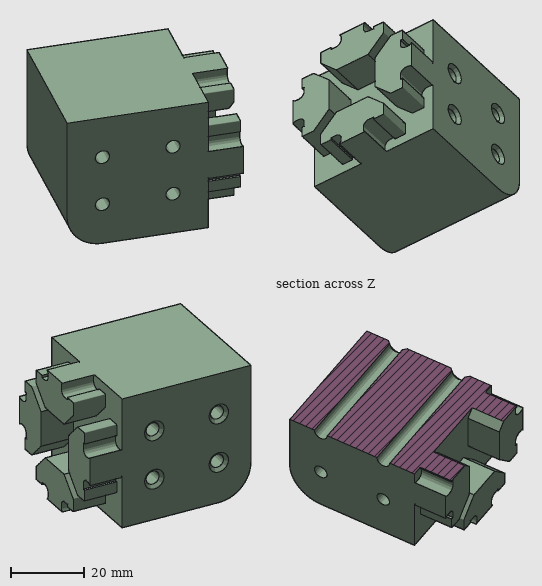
import cadquery as cq
import math

WIDTH = 40.0
HEIGHT = 40.0
TOTAL_LENGTH = 50.0
PLUG_LENGTH = 10.0
EDGE_RADIUS = 10.0
FRONT_Y = -TOTAL_LENGTH / 2
BACK_Y = TOTAL_LENGTH / 2
PLUG_Y = BACK_Y - PLUG_LENGTH

HOLE_DIAMETER = 4.0
SINK_DIAMETER = 6.0
SINK_ANGLE = 90.0
HOLE_SPACING_Y = 20.0
HOLE_SPACING_Z = 15.0
FRONT_HOLE_OFFSET = 10.0
FRONT_HOLE_Y = FRONT_Y + FRONT_HOLE_OFFSET

OUTER_LEVEL = HEIGHT / 2
NECK_HALF = 4.3
GROOVE_RADIUS = 1.9
GROOVE_ANGLE = 45.0
GROOVE_WALL = 0.55
FLOOR_LEVEL = 16.25
STEP_HALF = 7.15
WING_LEVEL = 16.95
WING_HALF = 10.6
TAPER_LEVEL = 13.0
BASE_LEVEL = 7.75
WING_RADIUS = 0.25
PLUG_COUNT = 4


def make_block():
    """Plain block with its lower front edge rounded."""
    block = cq.Workplane("XY").box(WIDTH, PLUG_Y - FRONT_Y, HEIGHT)
    block = block.translate((0, (FRONT_Y + PLUG_Y) / 2, 0))
    return block.edges("<Y and <Z").fillet(EDGE_RADIUS)


def drill_holes(block):
    """Four through holes, countersunk on the -X face."""
    pattern_center = (-WIDTH / 2, FRONT_HOLE_Y + HOLE_SPACING_Y / 2, 0)
    return (
        block.faces("<X")
        .workplane(origin=pattern_center)
        .rarray(HOLE_SPACING_Y, HOLE_SPACING_Z, 2, 2)
        .cskHole(HOLE_DIAMETER, SINK_DIAMETER, SINK_ANGLE)
    )


def groove_point(center_level, angle):
    """Point on a groove arc, turned by angle (degrees) from the groove wall."""
    turn = math.radians(angle)
    wall_half = NECK_HALF - GROOVE_RADIUS * (1 - math.cos(math.radians(GROOVE_ANGLE)))
    return (
        wall_half + GROOVE_RADIUS * (1 - math.cos(turn)),
        center_level + GROOVE_RADIUS * math.sin(turn),
    )


def make_plug():
    """T-shaped plug pointing up: grooved neck, stepped wings and a tapered foot."""
    wall_top = OUTER_LEVEL - GROOVE_RADIUS * math.sin(math.radians(GROOVE_ANGLE))
    wall_bottom = wall_top - GROOVE_WALL
    floor_angle = -math.degrees(math.asin((wall_bottom - FLOOR_LEVEL) / GROOVE_RADIUS))
    base_half = WING_HALF - (TAPER_LEVEL - BASE_LEVEL)
    plug = (
        cq.Workplane("XZ", origin=(0, PLUG_Y, 0))
        .moveTo(0, OUTER_LEVEL)
        .lineTo(NECK_HALF, OUTER_LEVEL)
        .threePointArc(groove_point(wall_top, GROOVE_ANGLE / 2), groove_point(wall_top, 0))
        .lineTo(*groove_point(wall_bottom, 0))
        .threePointArc(groove_point(wall_bottom, floor_angle / 2), groove_point(wall_bottom, floor_angle))
        .lineTo(STEP_HALF, FLOOR_LEVEL)
        .lineTo(STEP_HALF, WING_LEVEL)
        .lineTo(WING_HALF, WING_LEVEL)
        .lineTo(WING_HALF, TAPER_LEVEL)
        .lineTo(base_half, BASE_LEVEL)
        .lineTo(0, BASE_LEVEL)
        .mirrorY()
        .extrude(-PLUG_LENGTH)
    )
    wing_corners = plug.faces("<X or >X").edges("|Y")
    return wing_corners.fillet(WING_RADIUS)


result = drill_holes(make_block())
upper_plug = make_plug()
for index in range(PLUG_COUNT):
    result = result.union(upper_plug.rotate((0, 0, 0), (0, 1, 0), index * 360 / PLUG_COUNT))